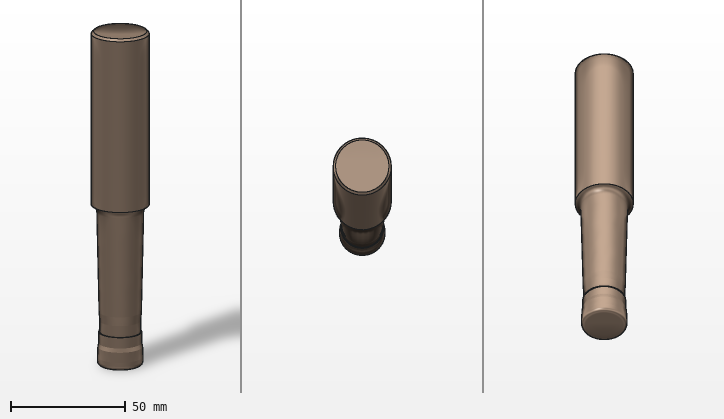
import cadquery as cq
import math

total_length = 152.4
joint_z = 15.1

shank_radius = 25.5 / 2
shank_chamfer = 1.0
shank_bottom_z = 73.3
neck_top_z = 69.8
neck_top_radius = 20.5 / 2
neck_bottom_z = 24.2
neck_bottom_radius = 18.6 / 2
collar_top_z = 20.1
collar_radius = 18.0 / 2

stem_radius = 18.9 / 2
stem_bottom_z = 10.0
rim_top_z = 8.2
rim_top_radius = 19.7 / 2
rim_radius = 20.0 / 2
rim_bottom_z = 3.7
corner_radius = 1.8


def revolve_about_z(profile):
    """Turn a closed (radius, height) profile around the Z axis."""
    return profile.close().revolve(360, (0, 0, 0), (0, 1, 0))


def flare_midpoint():
    """Middle of a concave arc that leaves the neck vertically and meets the shank edge."""
    width = shank_radius - neck_top_radius
    height = shank_bottom_z - neck_top_z
    arc_radius = (width**2 + height**2) / (2 * width)
    half_angle = math.asin(height / arc_radius) / 2
    return (
        neck_top_radius + arc_radius * (1 - math.cos(half_angle)),
        neck_top_z + arc_radius * math.sin(half_angle),
    )


def make_holder():
    profile = (
        cq.Workplane("XZ")
        .moveTo(0, joint_z)
        .lineTo(collar_radius, joint_z)
        .lineTo(collar_radius, collar_top_z)
        .lineTo(neck_bottom_radius, neck_bottom_z)
        .lineTo(neck_top_radius, neck_top_z)
        .threePointArc(flare_midpoint(), (shank_radius, shank_bottom_z))
        .lineTo(shank_radius, total_length - shank_chamfer)
        .lineTo(shank_radius - shank_chamfer, total_length)
        .lineTo(0, total_length)
    )
    return revolve_about_z(profile)


def make_head():
    profile = (
        cq.Workplane("XZ")
        .lineTo(rim_radius - corner_radius, 0)
        .radiusArc((rim_radius, corner_radius), -corner_radius)
        .lineTo(rim_radius, rim_bottom_z)
        .lineTo(rim_top_radius, rim_top_z)
        .lineTo(stem_radius, stem_bottom_z)
        .lineTo(stem_radius, joint_z)
        .lineTo(0, joint_z)
    )
    return revolve_about_z(profile)


holder = make_holder()
head = make_head()

result = cq.Compound.makeCompound([holder.val(), head.val()])